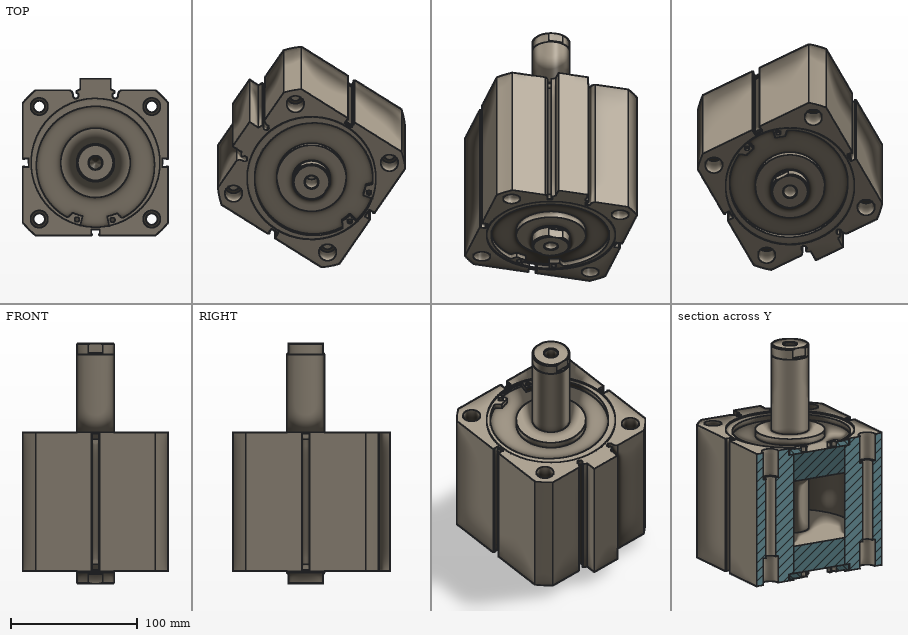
import cadquery as cq
import math


body_width = 115.0
body_height = 109.5
half_width = body_width / 2
corner_radius = 74.5
bore_radius = 51.0

mount_offset = 44.5
mount_hole_diameter = 9.0
counterbore_diameter = 13.7
counterbore_depth = 22.0

slot_depth = 4.8
slot_half_width = 3.2
slot_lip_half_width = 2.7
slot_lip_thickness = 1.1
slot_lip_chamfer = slot_half_width - slot_lip_half_width

port_half_width = 12.2
port_height = 9.1
port_top = half_width + port_height
shoulder_y = 58.1
hook_x = 15.2
hook_top_y = 56.6
hook_bottom_y = 55.5
groove_radius = 2.0
groove_x = 15.5
groove_y = 53.0
groove_inner_top_y = 54.2
mouth_radius = 4.8
mouth_center_y = 53.2

ring_radius = 53.0
ring_thickness = 4.2
ring_recess = 1.1
ring_inner_radius = 46.7
ring_inner_shift = 2.0
ring_gap_half_angle = 13
ring_turn = 0.7
lug_radius = 43.3
lug_half_angle = 23.8
lug_foot_x = 22.5
lug_foot_y = 44.5
lug_fillet = 1.9
lug_hole_radius = 47.1
lug_hole_angle = 17.4
lug_hole_diameter = 3.8

cover_recess = ring_recess + ring_thickness
cover_thickness = 22.8
boss_diameter = 55.0

rod_length = 190.0
rod_bottom = -10.0
rod_radius = 15.0
neck_radius = 14.8
neck_length = 8.7
shoulder_chamfer = rod_radius - neck_radius
end_chamfer = 1.0
flat_offset = 13.7
flat_length = 7.5
flat_runout = rod_radius - flat_offset
tap_diameter = 10.3
tap_depth = 22.8
tap_mouth_chamfer = 0.5
drill_point_angle = 118


def polar(radius, angle):
    """Point at a radius and an angle in degrees measured from -Y towards +X."""
    turn = math.radians(angle)
    return radius * math.sin(turn), -radius * math.cos(turn)


def other_end(body):
    """Copy of a body for the lower end, mirrored about the housing mid-height."""
    return body.mirror("XY", (0, 0, body_height / 2))


def make_sensor_slot():
    """Lipped slot on the -Y side, running the full height."""
    lip_inner_y = -half_width + slot_lip_thickness
    right_side = [
        (slot_half_width, -half_width),
        (slot_lip_half_width, -half_width + slot_lip_chamfer),
        (slot_lip_half_width, lip_inner_y),
        (slot_half_width, lip_inner_y),
        (slot_half_width, -half_width + slot_depth),
    ]
    left_side = [(-x, y) for x, y in reversed(right_side)]
    return cq.Workplane("XY").polyline(right_side + left_side).close().extrude(body_height)


def make_flank_groove():
    """Material removed beside the +X flank of the port block, above its undercut groove."""
    outer_x = groove_x + groove_radius
    inner_x = groove_x - groove_radius
    mouth_center_x = outer_x + mouth_radius
    full_angle = math.asin((half_width - mouth_center_y) / mouth_radius)

    def mouth_point(angle):
        return (
            mouth_center_x - mouth_radius * math.cos(angle),
            mouth_center_y + mouth_radius * math.sin(angle),
        )

    mouth_end_x = mouth_point(full_angle)[0]
    return (
        cq.Workplane("XY")
        .moveTo(port_half_width, port_top)
        .lineTo(port_half_width, shoulder_y)
        .lineTo(hook_x, hook_top_y)
        .lineTo(hook_x, hook_bottom_y)
        .lineTo(inner_x, groove_inner_top_y)
        .lineTo(inner_x, groove_y)
        .threePointArc((groove_x, groove_y - groove_radius), (outer_x, groove_y))
        .lineTo(outer_x, mouth_center_y)
        .threePointArc(mouth_point(full_angle / 2), mouth_point(full_angle))
        .lineTo(mouth_end_x, port_top)
        .close()
        .extrude(body_height)
    )


def make_ring_groove():
    """Groove for the upper retaining ring."""
    groove_floor = cq.Workplane("XY", origin=(0, 0, body_height - cover_recess))
    return groove_floor.circle(ring_radius).extrude(ring_thickness)


def make_housing():
    block = cq.Workplane("XY").rect(body_width, body_width).extrude(body_height)
    block = block.intersect(cq.Workplane("XY").circle(corner_radius).extrude(body_height))
    port = (
        cq.Workplane("XY")
        .center(0, (bore_radius + port_top) / 2)
        .rect(2 * (groove_x + groove_radius), port_top - bore_radius)
        .extrude(body_height)
    )
    housing = block.union(port)

    flank_groove = make_flank_groove()
    housing = housing.cut(flank_groove).cut(flank_groove.mirror("YZ"))

    for angle in (-90, 0, 90):
        housing = housing.cut(make_sensor_slot().rotate((0, 0, 0), (0, 0, 1), angle))

    housing = housing.cut(cq.Workplane("XY").circle(bore_radius).extrude(body_height))
    ring_groove = make_ring_groove()
    housing = housing.cut(ring_groove).cut(other_end(ring_groove))

    mounts = cq.Workplane("XY").rect(2 * mount_offset, 2 * mount_offset, forConstruction=True).vertices()
    through_holes = mounts.circle(mount_hole_diameter / 2).extrude(body_height)
    counterbores = mounts.circle(counterbore_diameter / 2).extrude(counterbore_depth)
    return housing.cut(through_holes).cut(counterbores).cut(other_end(counterbores))


def make_lug_blank():
    """Lug on the +X side of the gap, from its foot on the ring to the gap edge."""
    mid_angle = (lug_half_angle + ring_gap_half_angle) / 2
    return (
        cq.Workplane("XY")
        .moveTo(*polar(ring_radius, ring_gap_half_angle))
        .lineTo(*polar(lug_radius, ring_gap_half_angle))
        .threePointArc(polar(lug_radius, mid_angle), polar(lug_radius, lug_half_angle))
        .lineTo(lug_foot_x, -lug_foot_y)
        .close()
        .extrude(ring_thickness)
    )


def make_retaining_ring():
    """Ring for the upper end, with its gap near the -Y side."""
    ring = cq.Workplane("XY").circle(ring_radius).extrude(ring_thickness)
    ring = ring.cut(
        cq.Workplane("XY").center(0, -ring_inner_shift).circle(ring_inner_radius).extrude(ring_thickness)
    )

    gap_reach = 2 * ring_radius
    gap = (
        cq.Workplane("XY")
        .polyline([(0, 0), polar(gap_reach, -ring_gap_half_angle), polar(gap_reach, ring_gap_half_angle)])
        .close()
        .extrude(ring_thickness)
    )
    ring = ring.cut(gap)

    lug = make_lug_blank()
    ring = ring.union(lug).union(lug.mirror("YZ"))

    for side in (-1, 1):
        foot = (side * lug_foot_x, -lug_foot_y, ring_thickness / 2)
        ring = ring.edges(cq.selectors.NearestToPointSelector(foot)).fillet(lug_fillet)

    holes = (
        cq.Workplane("XY")
        .pushPoints([polar(lug_hole_radius, side * lug_hole_angle) for side in (-1, 1)])
        .circle(lug_hole_diameter / 2)
        .extrude(ring_thickness)
    )
    ring = ring.cut(holes).rotate((0, 0, 0), (0, 0, 1), -ring_turn)
    return ring.translate((0, 0, body_height - cover_recess))


def make_cover():
    """Cover for the upper end, with a guide boss flush with the housing face."""
    face_z = body_height - cover_recess
    disc = cq.Workplane("XY", origin=(0, 0, face_z)).circle(bore_radius).extrude(-cover_thickness)
    boss = cq.Workplane("XY", origin=(0, 0, face_z)).circle(boss_diameter / 2).extrude(cover_recess)
    rod_hole = cq.Workplane("XY").circle(rod_radius).extrude(body_height)
    return disc.union(boss).cut(rod_hole)


def make_rod_end_cut():
    """Material removed from the top end of a plain rod whose end face is at Z = 0."""
    outer_radius = 2 * rod_radius
    neck = (
        cq.Workplane("XZ")
        .polyline([
            (neck_radius - end_chamfer, 0),
            (neck_radius, -end_chamfer),
            (neck_radius, -neck_length),
            (rod_radius, -neck_length - shoulder_chamfer),
            (outer_radius, -neck_length - shoulder_chamfer),
            (outer_radius, 0),
        ])
        .close()
        .revolve(360, (0, 0, 0), (0, 1, 0))
    )

    flat = (
        cq.Workplane("YZ")
        .polyline([
            (flat_offset, 0),
            (flat_offset, -flat_length),
            (rod_radius, -flat_length - flat_runout),
            (outer_radius, -flat_length - flat_runout),
            (outer_radius, 0),
        ])
        .close()
        .extrude(rod_radius, both=True)
    )

    tap_radius = tap_diameter / 2
    drill_point = tap_radius / math.tan(math.radians(drill_point_angle / 2))
    tap = (
        cq.Workplane("XZ")
        .polyline([
            (0, 0),
            (tap_radius + tap_mouth_chamfer, 0),
            (tap_radius, -tap_mouth_chamfer),
            (tap_radius, -tap_depth),
            (0, -tap_depth - drill_point),
        ])
        .close()
        .revolve(360, (0, 0, 0), (0, 1, 0))
    )
    return neck.union(flat).union(flat.mirror("XZ")).union(tap)


def make_rod():
    rod = cq.Workplane("XY").circle(rod_radius).extrude(rod_length)
    top_cut = make_rod_end_cut().translate((0, 0, rod_length))
    bottom_cut = top_cut.mirror("XY", (0, 0, rod_length / 2))
    return rod.cut(top_cut).cut(bottom_cut).translate((0, 0, rod_bottom))


housing = make_housing()
rod = make_rod()

upper_cover = make_cover()
upper_ring = make_retaining_ring()

upper_bodies = [upper_cover, upper_ring]
lower_bodies = [other_end(body) for body in upper_bodies]
end_solids = [body.val() for body in upper_bodies + lower_bodies]

result = cq.Compound.makeCompound([housing.val(), rod.val(), *end_solids])